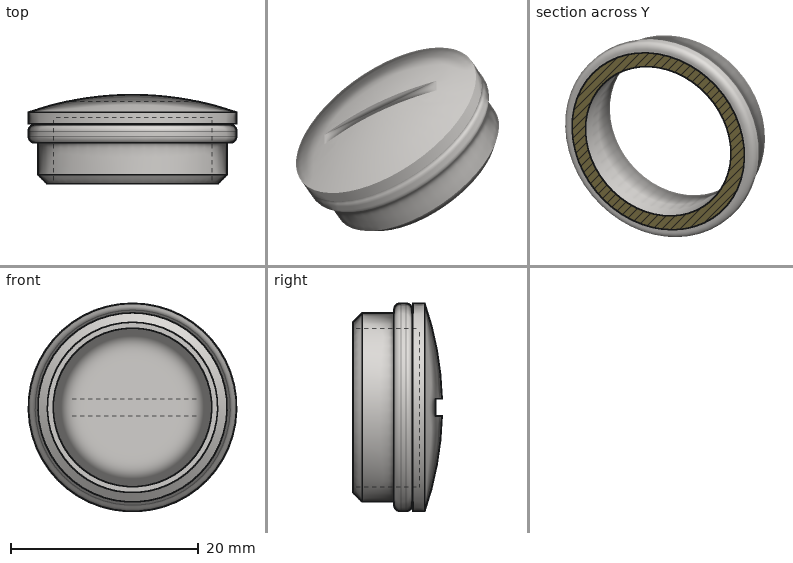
import cadquery as cq

head_radius = 11.1
body_radius = 10.075
bore_radius = 8.45
bore_depth = 7.1
rim_chamfer = 1.0

bead_start = 4.38
bead_width = 1.95
bead_fillet = 0.7
bead_gap = 0.07
flange_start = bead_start + bead_width + bead_gap
flange_thickness = 1.25
dome_start = flange_start + flange_thickness
dome_height = 1.88
apex = dome_start + dome_height

dome_radius = (head_radius**2 + dome_height**2) / (2 * dome_height)

slot_width = 1.8
slot_depth = 0.72


def revolve_about_y(profile):
    """Full turn about the Y axis of a closed profile drawn in the YZ plane."""
    return profile.revolve(360, (0, 0, 0), (1, 0, 0))


def cylinder_along_y(radius, start, length):
    """Solid cylinder on the plug axis, growing toward +Y from start."""
    return revolve_about_y(
        cq.Workplane("YZ").moveTo(start, 0).hLine(length).vLine(radius).hLine(-length).close()
    )


def make_body():
    """Chamfered plug body and head flange, topped by a spherical dome."""
    dome_mid_radius = head_radius / 2
    dome_mid_y = apex - dome_radius + (dome_radius**2 - dome_mid_radius**2) ** 0.5
    return revolve_about_y(
        cq.Workplane("YZ")
        .lineTo(0, body_radius - rim_chamfer)
        .lineTo(rim_chamfer, body_radius)
        .lineTo(flange_start, body_radius)
        .lineTo(flange_start, head_radius)
        .lineTo(dome_start, head_radius)
        .threePointArc((dome_mid_y, dome_mid_radius), (apex, 0))
        .close()
    )


def make_bead():
    """Sealing bead just clear of the flange, with both outer edges rounded."""
    disc = cylinder_along_y(head_radius, bead_start, bead_width)
    return disc.edges("%CIRCLE").fillet(bead_fillet)


def make_slot():
    """Straight cutter reaching slot_depth below the dome apex."""
    cutter = cq.Workplane("XY").box(2 * head_radius, 2 * slot_depth, slot_width)
    return cutter.translate((0, apex, 0))


bore = cylinder_along_y(bore_radius, 0, bore_depth)
result = make_body().union(make_bead()).cut(bore).cut(make_slot())